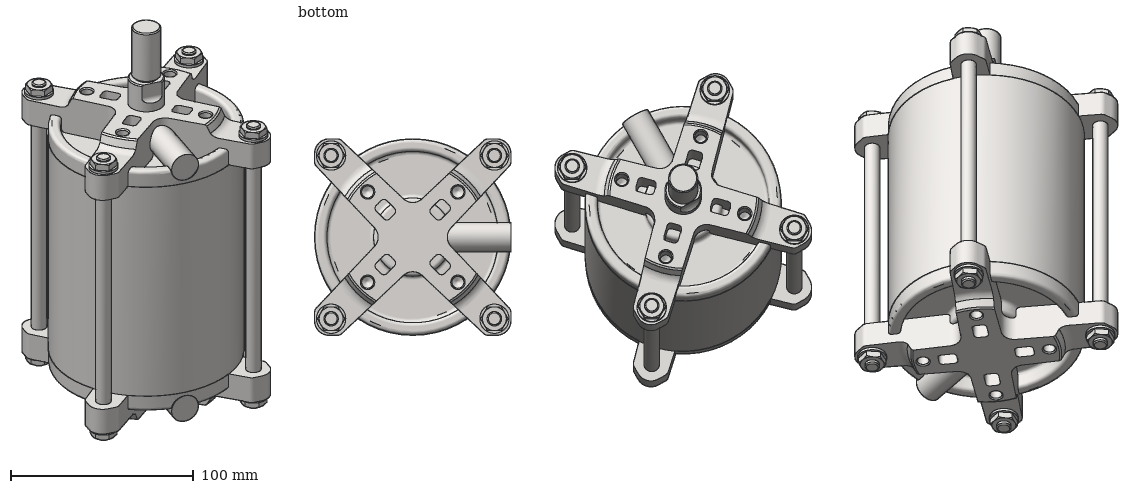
import cadquery as cq
import math

SQUARE = 107.5
TOTAL_HEIGHT = 225.5
CAN_DIAMETER = 107.5
CAN_BOTTOM = 23.2
CAN_TOP = 154.8

RIM_DIAMETER = 107.0
RIM_HEIGHT = 9.7
CAP_DEPTH = 4.5
RIM_OUTER_FILLET = 2.0
RIM_INNER_FILLET = 2.0
RECESS_RADIUS = 46.9
HUB_RADIUS = 21.5
HUB_HEIGHT = 7.7
HUB_FILLET = 2.3
FLOOR_FILLET = 2.0
ARM_HEIGHT = 22.5
ARM_ROOT_WIDTH = 23.5
ARM_TIP_WIDTH = 19.2
LUG_CORNER_RADIUS = 8.1
ARM_ROOT_FILLET = 7.5
LUG_FILLET = 3.5
PAD_HEIGHT = 15.5

STEP_TOP_RADIUS = 40.1
STEP_EDGE_RADIUS = 41.2
STEP_EDGE_DROP = 0.7
STEP_FOOT_RADIUS = 43.3
STEP_PAD_RADIUS = 48.0
STEP_FILLET = 6.3

SLOT_DISTANCE = 21.2
SLOT_LENGTH = 10.4
SLOT_WIDTH = 8.1
SLOT_FILLET = 2.3
HOLE_DISTANCE = 35.0
HOLE_DIAMETER = 6.5
HOLE_MOUTH_DIAMETER = 8.0
HOLE_DEPTH = 11.3
DRILL_ANGLE = 118.0

ROD_OFFSET = 44.6
ROD_DIAMETER = 8.5
ROD_TIP_DIAMETER = 8.0
ROD_TIP_CHAMFER = 0.7
ROD_TOP = 177.2
WASHER_DIAMETER = 16.0
WASHER_THICKNESS = 1.5
NUT_ACROSS_FLATS = 13.0
NUT_HEIGHT = 3.8
NUT_CHAMFER_ANGLE = 30.0

CABLE_DIAMETER = 16.0
CABLE_HEIGHT = 10.1
CABLE_START = 13.5

SHAFT_DIAMETER = 16.0
JOURNAL_DIAMETER = 20.0
JOURNAL_TOP = 193.8
NECK_DIAMETER = 13.0
NECK_HEIGHT = 1.5
SHAFT_CHAMFER = 0.7
FLAT_BOTTOM = 185.7
FLAT_RUNOUT_RADIUS = 3.4

ARM_ANGLES = [45, 135, 225, 315]
SHAFT_SEAT = CAN_TOP


def make_cap_disc():
    """Dished cap: raised rim, sunken floor flush with the can end and a low central hub."""
    rim_outer = RIM_DIAMETER / 2
    rim_inner = RECESS_RADIUS + RIM_INNER_FILLET
    return (
        cq.Workplane("XZ")
        .moveTo(0, -CAP_DEPTH)
        .lineTo(rim_outer, -CAP_DEPTH)
        .lineTo(rim_outer, RIM_HEIGHT - RIM_OUTER_FILLET)
        .radiusArc((rim_outer - RIM_OUTER_FILLET, RIM_HEIGHT), -RIM_OUTER_FILLET)
        .lineTo(rim_inner, RIM_HEIGHT)
        .radiusArc((RECESS_RADIUS, RIM_HEIGHT - RIM_INNER_FILLET), -RIM_INNER_FILLET)
        .lineTo(RECESS_RADIUS, FLOOR_FILLET)
        .radiusArc((RECESS_RADIUS - FLOOR_FILLET, 0), FLOOR_FILLET)
        .lineTo(HUB_RADIUS + FLOOR_FILLET, 0)
        .radiusArc((HUB_RADIUS, FLOOR_FILLET), FLOOR_FILLET)
        .lineTo(HUB_RADIUS, HUB_HEIGHT - HUB_FILLET)
        .radiusArc((HUB_RADIUS - HUB_FILLET, HUB_HEIGHT), -HUB_FILLET)
        .lineTo(0, HUB_HEIGHT)
        .close()
        .revolve(360, (0, 0, 0), (0, 1, 0))
    )


def make_cross():
    """Four tapered bars on the diagonals with rounded roots, trimmed to the square outline."""
    half = SQUARE / 2
    reach = half * math.sqrt(2)
    bar = (
        cq.Workplane("XY")
        .moveTo(0, -ARM_ROOT_WIDTH / 2)
        .lineTo(reach, -ARM_TIP_WIDTH / 2)
        .lineTo(reach, ARM_TIP_WIDTH / 2)
        .lineTo(0, ARM_ROOT_WIDTH / 2)
        .close()
        .extrude(ARM_HEIGHT)
    )
    cross = cq.Workplane("XY").rect(ARM_ROOT_WIDTH / 2, ARM_ROOT_WIDTH / 2).extrude(ARM_HEIGHT)
    for angle in ARM_ANGLES:
        cross = cross.union(bar.rotate((0, 0, 0), (0, 0, 1), angle))

    root_zone = cq.selectors.BoxSelector((-half / 2, -half / 2, -2.3), (half / 2, half / 2, ARM_HEIGHT + 2.3))
    cross = cross.edges("|Z").edges(root_zone).fillet(ARM_ROOT_FILLET)
    outline = cq.Workplane("XY").rect(SQUARE, SQUARE).extrude(ARM_HEIGHT).edges("|Z").fillet(LUG_CORNER_RADIUS)
    cross = cross.intersect(outline)

    corner = half - ARM_TIP_WIDTH / math.sqrt(2)
    for side in (-half, half):
        for offset in (-corner, corner):
            for point in ((side, offset, ARM_HEIGHT / 2), (offset, side, ARM_HEIGHT / 2)):
                cross = cross.edges(cq.selectors.NearestToPointSelector(point)).fillet(LUG_FILLET)
    return cross


def make_arm_step():
    """Ring that is cut away above the pads, leaving a chamfered edge, a slope and a concave foot."""
    foot_run = STEP_PAD_RADIUS - STEP_FOOT_RADIUS
    foot_rise = STEP_FILLET - math.sqrt(STEP_FILLET**2 - foot_run**2)
    return (
        cq.Workplane("XZ")
        .moveTo(STEP_TOP_RADIUS, ARM_HEIGHT)
        .lineTo(STEP_EDGE_RADIUS, ARM_HEIGHT - STEP_EDGE_DROP)
        .lineTo(STEP_FOOT_RADIUS, PAD_HEIGHT + foot_rise)
        .radiusArc((STEP_PAD_RADIUS, PAD_HEIGHT), -STEP_FILLET)
        .lineTo(SQUARE, PAD_HEIGHT)
        .lineTo(SQUARE, ARM_HEIGHT)
        .close()
        .revolve(360, (0, 0, 0), (0, 1, 0))
    )


def make_arm_openings():
    """Rounded slot over the hub edge and a drilled, chamfered blind hole in one arm along +X."""
    slot = (
        cq.Workplane("XY")
        .center(SLOT_DISTANCE, 0)
        .rect(SLOT_LENGTH, SLOT_WIDTH)
        .extrude(ARM_HEIGHT)
        .edges("|Z")
        .fillet(SLOT_FILLET)
    )
    radius = HOLE_DIAMETER / 2
    mouth_radius = HOLE_MOUTH_DIAMETER / 2
    tip_depth = HOLE_DEPTH + radius / math.tan(math.radians(DRILL_ANGLE / 2))
    hole = (
        cq.Workplane("XZ")
        .moveTo(0, ARM_HEIGHT)
        .lineTo(mouth_radius, ARM_HEIGHT)
        .lineTo(radius, ARM_HEIGHT - (mouth_radius - radius))
        .lineTo(radius, ARM_HEIGHT - HOLE_DEPTH)
        .lineTo(0, ARM_HEIGHT - tip_depth)
        .close()
        .revolve(360, (0, 0, 0), (0, 1, 0))
        .translate((HOLE_DISTANCE, 0, 0))
    )
    return slot.union(hole)


def make_nut():
    """Hexagon nut on a round washer, standing on z = 0, corners along X and chamfered on top."""
    washer = cq.Workplane("XY").circle(WASHER_DIAMETER / 2).extrude(WASHER_THICKNESS)
    across_corners = NUT_ACROSS_FLATS / math.cos(math.pi / 6)
    corner_width = (across_corners - NUT_ACROSS_FLATS) / 2
    corner_drop = corner_width * math.tan(math.radians(NUT_CHAMFER_ANGLE))
    hexagon = cq.Workplane("XY").polygon(6, across_corners).extrude(NUT_HEIGHT)
    envelope = (
        cq.Workplane("XY")
        .circle(across_corners / 2)
        .extrude(NUT_HEIGHT)
        .faces(">Z")
        .chamfer(corner_drop, corner_width)
    )
    return washer.union(hexagon.intersect(envelope).translate((0, 0, WASHER_THICKNESS)))


def make_end_cap():
    """Complete end cap on z = 0 facing +Z, with its nuts and cable outlet."""
    disc = make_cap_disc()
    arms = make_cross().cut(make_arm_step())
    openings = make_arm_openings()
    for angle in ARM_ANGLES:
        arms = arms.cut(openings.rotate((0, 0, 0), (0, 0, 1), angle))
    cable = (
        cq.Workplane("YZ", origin=(CABLE_START, 0, CABLE_HEIGHT))
        .circle(CABLE_DIAMETER / 2)
        .extrude(SQUARE / 2 - CABLE_START)
    )
    cap = disc.union(arms).union(cable)
    nut = make_nut().translate((0, 0, PAD_HEIGHT))
    for x in (-ROD_OFFSET, ROD_OFFSET):
        for y in (-ROD_OFFSET, ROD_OFFSET):
            cap = cap.union(nut.translate((x, y, 0)))
    return cap


def make_rods():
    """Four tie rods between the caps; slimmer chamfered threads run through the lugs and nuts."""
    pattern = cq.Workplane("XY").rect(2 * ROD_OFFSET, 2 * ROD_OFFSET, forConstruction=True).vertices()
    threads = pattern.circle(ROD_TIP_DIAMETER / 2).extrude(ROD_TOP).faces("<Z or >Z").chamfer(ROD_TIP_CHAMFER)
    shanks = pattern.circle(ROD_DIAMETER / 2).extrude(CAN_TOP - CAN_BOTTOM).translate((0, 0, CAN_BOTTOM))
    return threads.union(shanks)


def make_housing():
    """Can, two mirrored end caps and four tie rods, with a blind seat for the shaft."""
    can = cq.Workplane("XY", origin=(0, 0, CAN_BOTTOM)).circle(CAN_DIAMETER / 2).extrude(CAN_TOP - CAN_BOTTOM)
    cap = make_end_cap()
    body = can.union(cap.translate((0, 0, CAN_TOP)))
    body = body.union(cap.mirror("XY").translate((0, 0, CAN_BOTTOM)))
    body = body.union(make_rods())
    seat = (
        cq.Workplane("XY", origin=(0, 0, SHAFT_SEAT))
        .circle(JOURNAL_DIAMETER / 2)
        .extrude(JOURNAL_TOP - SHAFT_SEAT)
    )
    return body.cut(seat)


def make_shaft():
    """Journal with two flats, a narrow neck and the plain output end."""
    journal = (
        cq.Workplane("XY", origin=(0, 0, SHAFT_SEAT))
        .circle(JOURNAL_DIAMETER / 2)
        .extrude(JOURNAL_TOP - SHAFT_SEAT)
        .faces(">Z")
        .chamfer(SHAFT_CHAMFER)
    )
    flat_x = SHAFT_DIAMETER / 2
    flat = (
        cq.Workplane("XZ", origin=(0, JOURNAL_DIAMETER / 2, 0))
        .moveTo(flat_x, JOURNAL_TOP)
        .lineTo(flat_x, FLAT_BOTTOM)
        .radiusArc((flat_x + FLAT_RUNOUT_RADIUS, FLAT_BOTTOM - FLAT_RUNOUT_RADIUS), -FLAT_RUNOUT_RADIUS)
        .lineTo(flat_x + FLAT_RUNOUT_RADIUS, JOURNAL_TOP)
        .close()
        .extrude(JOURNAL_DIAMETER)
    )
    journal = journal.cut(flat).cut(flat.mirror("YZ"))

    neck_top = JOURNAL_TOP + NECK_HEIGHT
    neck = cq.Workplane("XY", origin=(0, 0, JOURNAL_TOP)).circle(NECK_DIAMETER / 2).extrude(NECK_HEIGHT)
    output_end = (
        cq.Workplane("XY", origin=(0, 0, neck_top))
        .circle(SHAFT_DIAMETER / 2)
        .extrude(TOTAL_HEIGHT - neck_top)
        .faces(">Z")
        .chamfer(SHAFT_CHAMFER)
    )
    return journal.union(neck).union(output_end)


housing = make_housing()
shaft = make_shaft()
result = cq.Compound.makeCompound([housing.val(), shaft.val()])